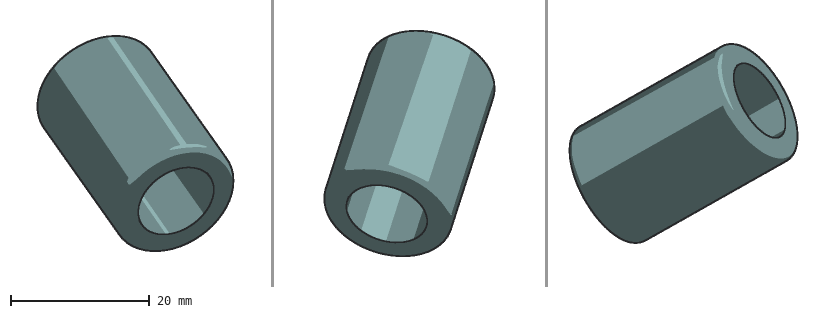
import cadquery as cq

length = 28.0
outer_diameter = 19.0
bore_diameter = 12.0
edge_radius = 1.0


def make_sleeve():
    """Hollow cylinder along X, centred on its length."""
    return (
        cq.Workplane("YZ")
        .circle(outer_diameter / 2)
        .circle(bore_diameter / 2)
        .extrude(length / 2, both=True)
    )


def round_outer_rims(sleeve):
    """Round the outer circular edge at each end; the bore edges stay sharp."""
    for end_face in ("<X", ">X"):
        outer_rim = sleeve.faces(end_face).edges(cq.selectors.RadiusNthSelector(-1))
        sleeve = outer_rim.fillet(edge_radius)
    return sleeve


result = round_outer_rims(make_sleeve())